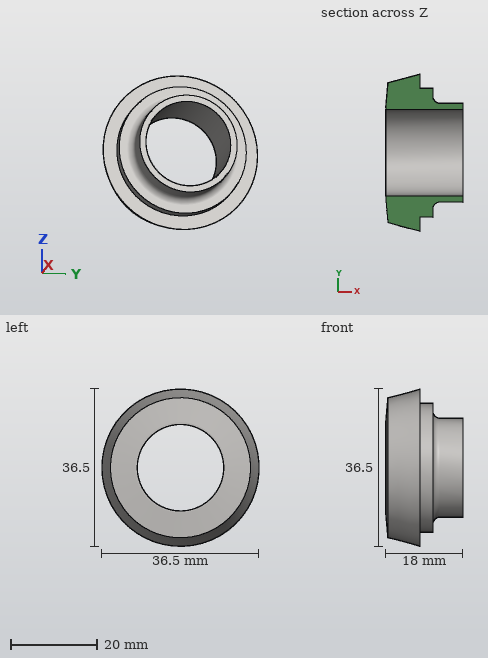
import cadquery as cq
import math

total_length = 18.0
head_end = 8.0
flange_end = 11.0
face_setback = 0.5

bore_diameter = 20.0
nose_diameter = 21.0
head_diameter = 36.5
flange_diameter = 30.0
spigot_diameter = 23.0

head_taper = 15.0
fillet_radius = 1.6


def turned_profile():
    """Half section of the ring: X along the axis, Y as the radius."""
    bore = bore_diameter / 2
    nose = nose_diameter / 2
    head = head_diameter / 2
    flange = flange_diameter / 2
    spigot = spigot_diameter / 2

    cone_length = head_end - face_setback
    front_rim = head - cone_length * math.tan(math.radians(head_taper))

    fillet_end = flange_end + fillet_radius
    fillet_top = spigot + fillet_radius
    fillet_inset = fillet_radius * (1 - math.sqrt(0.5))
    fillet_middle = (flange_end + fillet_inset, spigot + fillet_inset)

    return (
        cq.Workplane("XY")
        .moveTo(0, bore)
        .lineTo(0, nose)
        .lineTo(face_setback, front_rim)
        .lineTo(head_end, head)
        .lineTo(head_end, flange)
        .lineTo(flange_end, flange)
        .lineTo(flange_end, fillet_top)
        .threePointArc(fillet_middle, (fillet_end, spigot))
        .lineTo(total_length, spigot)
        .lineTo(total_length, bore)
        .close()
    )


result = turned_profile().revolve(360, (0, 0, 0), (1, 0, 0))